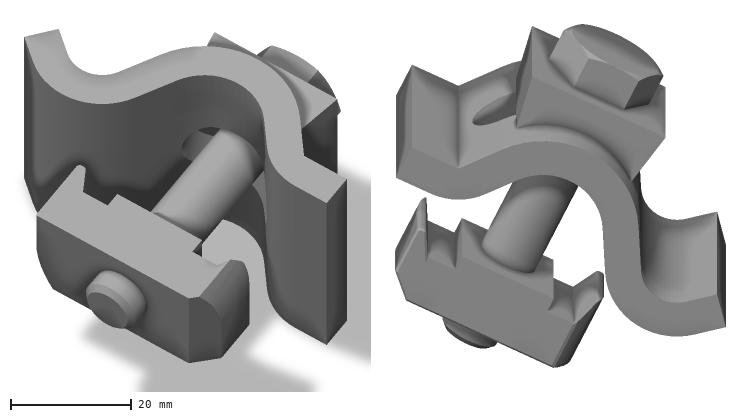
import cadquery as cq
import math

bolt_lean = 5.0

plate_height = 40.0
plate_thickness = 6.0
arch_inner_radius = 10.0
arch_outer_radius = arch_inner_radius + plate_thickness
flank_angle = 56.0
valley_outer_radius = 12.0
valley_inner_radius = valley_outer_radius - plate_thickness
valley_floor = -6.25
tail_angle = 45.0
tail_length = 5.4
lip_end = 26.05
lip_top = 3.8
lip_bend_radius = 10.7
slot_width = 11.0
slot_left_swing = 18.0
slot_right_swing = flank_angle

bolt_radius = 5.0
bolt_tip = -28.8
tip_chamfer = 1.0
head_seat = 21.3
head_height = 6.25
head_across_flats = 16.05
hexagon_sides = 6
head_chamfer_angle = 25.0

block_height = 24.5
block_top_width = 24.7
block_draft = 10.0
block_depth = 11.0

nut_half_width = 17.3
nut_front = -24.5
nut_floor = -16.15
nut_boss_top = -13.3
nut_boss_half_width = 8.5
prong_tip = -11.75
prong_tip_width = 1.45
prong_root = 13.45
prong_tip_radius = 0.7
nut_corner_chamfer = 3.9
nut_top = 8.7
nut_bottom = -10.0
nut_end_radius = 17.15
nut_end_start = 0.5
floor_rise = 0.3
front_edge_fillet = 0.2
base_chamfer = 0.35
selection_margin = 0.05


def polar(radius, angle):
    """Vector of the given length at an angle in degrees from +X."""
    return cq.Vector(radius * math.cos(math.radians(angle)), radius * math.sin(math.radians(angle)))


def xy(vector):
    return vector.x, vector.y


def crossing(normal_a, distance_a, normal_b, distance_b):
    """Point where two lines meet, each given by its unit normal and distance from the origin."""
    det = normal_a.x * normal_b.y - normal_a.y * normal_b.x
    x = (distance_a * normal_b.y - distance_b * normal_a.y) / det
    y = (distance_b * normal_a.x - distance_a * normal_b.x) / det
    return cq.Vector(x, y)


def lean(body):
    return body.rotate((0, 0, 0), (0, 0, 1), -bolt_lean)


def cylinder_along_y(radius, start, end):
    return cq.Workplane("XZ", origin=(0, start, 0)).circle(radius).extrude(start - end)


def plate_outline():
    left_normal_angle = 90 + flank_angle
    right_normal_angle = 90 - flank_angle
    lip_normal_angle = 90 - bolt_lean
    left_normal = polar(1, left_normal_angle)
    right_normal = polar(1, right_normal_angle)
    lip_normal = polar(1, lip_normal_angle)

    valley_y = valley_floor + valley_outer_radius
    valley = crossing(left_normal, arch_inner_radius + valley_outer_radius, cq.Vector(0, 1), valley_y)
    tail_normal_angle = 270 - tail_angle
    tail_shift = polar(tail_length, 180 - tail_angle)

    def valley_point(radius, angle):
        return valley + polar(radius, angle)

    valley_flank_angle = left_normal_angle + 180
    valley_middle_angle = (tail_normal_angle + valley_flank_angle) / 2
    tail_low = valley_point(valley_outer_radius, tail_normal_angle)
    tail_high = valley_point(valley_inner_radius, tail_normal_angle)

    lip_bottom = lip_top - plate_thickness
    lip_direction = polar(1, -bolt_lean)
    bend = crossing(
        right_normal, arch_inner_radius + lip_bend_radius, lip_normal, lip_bottom + lip_bend_radius
    )
    bend_middle_angle = 180 + (right_normal_angle + lip_normal_angle) / 2
    lip_corner = crossing(right_normal, arch_outer_radius, lip_normal, lip_top)

    return (
        cq.Workplane("XY", origin=(0, 0, -plate_height / 2))
        .moveTo(*xy(tail_low + tail_shift))
        .lineTo(*xy(tail_low))
        .threePointArc(
            valley_point(valley_outer_radius, valley_middle_angle),
            valley_point(valley_outer_radius, valley_flank_angle),
        )
        .lineTo(*xy(polar(arch_inner_radius, left_normal_angle)))
        .threePointArc(cq.Vector(0, arch_inner_radius), polar(arch_inner_radius, right_normal_angle))
        .lineTo(*xy(bend - right_normal * lip_bend_radius))
        .threePointArc(
            bend + polar(lip_bend_radius, bend_middle_angle),
            bend - lip_normal * lip_bend_radius,
        )
        .lineTo(*xy(lip_direction * lip_end + lip_normal * lip_bottom))
        .lineTo(*xy(lip_direction * lip_end + lip_normal * lip_top))
        .lineTo(*xy(lip_corner))
        .lineTo(*xy(polar(arch_outer_radius, right_normal_angle)))
        .threePointArc(cq.Vector(0, arch_outer_radius), polar(arch_outer_radius, left_normal_angle))
        .lineTo(*xy(valley_point(valley_inner_radius, valley_flank_angle)))
        .threePointArc(valley_point(valley_inner_radius, valley_middle_angle), tail_high)
        .lineTo(*xy(tail_high + tail_shift))
        .close()
    )


def make_swing_slot():
    """Cutter for the slot through the arch: a round hole swung to both sides about the arch centre."""
    end_hole = cylinder_along_y(slot_width / 2, 0, head_seat)
    left_edge = polar(head_seat, 90 + slot_left_swing)
    right_edge = polar(head_seat, 90 - slot_right_swing)
    slot = (
        cq.Workplane("XY", origin=(0, 0, -slot_width / 2))
        .lineTo(*xy(left_edge))
        .threePointArc(cq.Vector(0, head_seat), right_edge)
        .close()
        .extrude(slot_width)
    )
    for angle in (-slot_right_swing, slot_left_swing):
        slot = slot.union(end_hole.rotate((0, 0, 0), (0, 0, 1), angle))
    return slot


def make_clamp_plate():
    plate = plate_outline().extrude(plate_height)
    return plate.cut(make_swing_slot())


def make_bolt():
    shank = cylinder_along_y(bolt_radius, bolt_tip, head_seat).faces("<Y").chamfer(tip_chamfer)
    across_corners = head_across_flats / math.cos(math.pi / hexagon_sides)
    head_top = head_seat + head_height
    head = (
        cq.Workplane("XZ", origin=(0, head_seat, 0))
        .polygon(hexagon_sides, across_corners)
        .extrude(-head_height)
    )

    slope = math.tan(math.radians(head_chamfer_angle))
    flat_radius = head_across_flats / 2
    cone_radius = flat_radius + head_height / slope
    cone = (
        cq.Workplane("XY")
        .polyline([(0, head_seat), (cone_radius, head_seat), (flat_radius, head_top), (0, head_top)])
        .close()
        .revolve(360, (0, 0, 0), (0, 1, 0))
    )
    return lean(shank.union(head.intersect(cone)))


def make_spacer_block():
    top_half = block_top_width / 2
    bottom_half = top_half - block_depth * math.tan(math.radians(block_draft))
    bottom = head_seat - block_depth
    outline = [
        (-top_half, head_seat),
        (top_half, head_seat),
        (bottom_half, bottom),
        (-bottom_half, bottom),
    ]
    base = cq.Workplane("XY", origin=(0, 0, -block_height / 2))
    block = base.polyline(outline).close().extrude(block_height)
    arch = base.circle(arch_outer_radius).extrude(block_height)
    return lean(block.cut(arch).cut(cylinder_along_y(bolt_radius, 0, head_seat)))


def nut_blank():
    prong_inner = nut_half_width - prong_tip_width
    outline = [
        (-nut_half_width, nut_front),
        (nut_half_width - nut_corner_chamfer, nut_front),
        (nut_half_width, nut_front + nut_corner_chamfer),
        (nut_half_width, prong_tip),
        (prong_inner, prong_tip),
        (prong_root, nut_floor),
        (nut_boss_half_width, nut_floor),
        (nut_boss_half_width, nut_boss_top),
        (-nut_boss_half_width, nut_boss_top),
        (-nut_boss_half_width, nut_floor),
        (-prong_root, nut_floor),
        (-prong_inner, prong_tip),
        (-nut_half_width, prong_tip),
    ]
    base = cq.Workplane("XY", origin=(0, 0, nut_bottom))
    blank = base.polyline(outline).close().extrude(nut_top - nut_bottom)
    tips = cq.selectors.BoxSelector(
        (-nut_half_width - selection_margin, prong_tip - selection_margin, nut_bottom),
        (nut_half_width + selection_margin, prong_tip + selection_margin, nut_top),
    )
    return blank.edges("|Z").edges(tips).fillet(prong_tip_radius)


def nut_face_outline():
    """Face of the nut: its lower left and upper right corners are swept round so that it can turn."""

    def inset(drop):
        return nut_end_radius - math.sqrt(nut_end_radius**2 - drop**2)

    left_drop = nut_end_start - nut_bottom
    right_drop = nut_top + nut_end_start
    return (
        cq.Workplane("XZ", origin=(0, prong_tip, 0))
        .moveTo(-nut_half_width, nut_top)
        .lineTo(-nut_half_width, nut_end_start)
        .threePointArc(
            (-nut_half_width + inset(left_drop / 2), nut_end_start - left_drop / 2),
            (-nut_half_width + inset(left_drop), nut_bottom),
        )
        .lineTo(nut_half_width, nut_bottom)
        .lineTo(nut_half_width, -nut_end_start)
        .threePointArc(
            (nut_half_width - inset(right_drop / 2), right_drop / 2 - nut_end_start),
            (nut_half_width - inset(right_drop), nut_top),
        )
        .close()
    )


def add_floor_slopes(nut):
    """Wedges that make the two floors rise slightly from the top of the nut to its bottom."""
    for side in (-1, 1):
        wedge = (
            cq.Workplane("YZ", origin=(side * nut_boss_half_width, 0, 0))
            .polyline([(nut_floor, nut_top), (nut_floor + floor_rise, nut_bottom), (nut_floor, nut_bottom)])
            .close()
            .extrude(side * (prong_root - nut_boss_half_width))
        )
        nut = nut.union(wedge)
    return nut


def round_front_edges(nut):
    """Round the left end and the corner chamfer where they meet the front face."""
    return nut.faces("<Y").edges("not(<Z or >Z)").fillet(front_edge_fillet)


def bevel_base(nut):
    """Bevel the base along the front face, the corner chamfer and both ends."""
    outer_edges = cq.selectors.BoxSelector(
        (-nut_half_width - selection_margin, nut_front - selection_margin, nut_bottom - selection_margin),
        (nut_half_width + selection_margin, nut_floor - selection_margin, nut_bottom + selection_margin),
    )
    return nut.faces("<Z").edges(outer_edges).chamfer(base_chamfer)


def make_clamp_nut():
    nut = nut_blank().intersect(nut_face_outline().extrude(prong_tip - nut_front))
    nut = round_front_edges(bevel_base(add_floor_slopes(nut)))
    return lean(nut.cut(cylinder_along_y(bolt_radius, nut_front, nut_boss_top)))


clamp_plate = make_clamp_plate()
bolt = make_bolt()
spacer_block = make_spacer_block()
clamp_nut = make_clamp_nut()

result = cq.Compound.makeCompound([clamp_plate.val(), bolt.val(), spacer_block.val(), clamp_nut.val()])